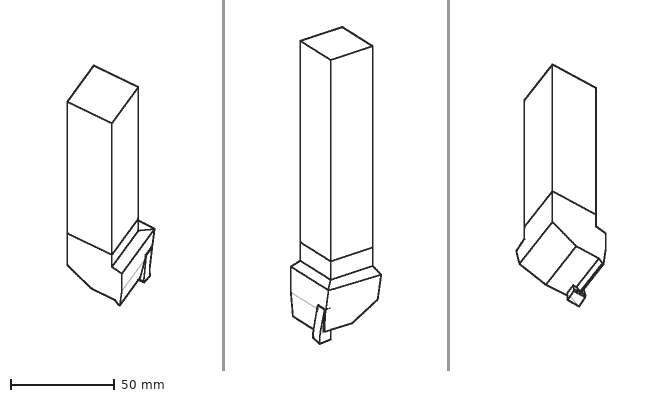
import cadquery as cq
import math

TOTAL_LENGTH = 152.4
SHANK_SIZE = 25.1
HEAD_TOP = 43.0

HEAD_WIDTH = 30.8
HEAD_DEPTH = 32.2
HEAD_BOTTOM = 6.5
SHOULDER_Z = 32.9
SHOULDER_ANGLE = 15.0
CORNER_CUT_WIDTH = 13.7
CORNER_CUT_TOP = 16.5
BACK_LEAN = 10.9
BACK_SKEW = 2.0
RELIEF_TOP = 17.5

NOSE_START_X = 26.8
NOSE_TIP_LEFT = 28.8
NOSE_TIP_RIGHT = 29.5
NOSE_BOTTOM = 4.0

INSERT_LEFT = 25.0
INSERT_RIGHT = 31.7
INSERT_TOP = 19.8
INSERT_TOP_RIGHT = 31.1
INSERT_FRONT = 19.2
INSERT_FRONT_Z = 2.5
EDGE_RISE = 0.5
HEEL_Y = 19.5
HEEL_Z = 1.0
RAKE_TOP = 5.8
INSERT_TOP_BACK = 28.3

SHOULDER_SLOPE = math.tan(math.radians(SHOULDER_ANGLE))
LEAN_SLOPE = math.tan(math.radians(BACK_LEAN))
SKEW_SLOPE = math.tan(math.radians(BACK_SKEW))


def shoulder_height(reach):
    """Height of the sloping shoulder at a distance from the X or Y datum face."""
    return SHOULDER_Z - (reach - SHANK_SIZE) * SHOULDER_SLOPE


def prism_along_y(points, depth):
    """Extrude an XZ outline from Y = 0 towards +Y."""
    return cq.Workplane("XZ").polyline(points).close().extrude(-depth)


def prism_along_x(points, start, end):
    """Extrude a YZ outline between two X positions."""
    return cq.Workplane("YZ", origin=(start, 0, 0)).polyline(points).close().extrude(end - start)


def make_shank():
    """Square bar standing on the head."""
    height = TOTAL_LENGTH - HEAD_TOP
    base = cq.Workplane("XY", origin=(0, 0, HEAD_TOP))
    return base.rect(SHANK_SIZE, SHANK_SIZE, centered=False).extrude(height)


def make_insert():
    """Leaning blade whose cutting edge is the lowest point of the tool."""
    insert_front_top = INSERT_FRONT + (INSERT_TOP - INSERT_FRONT_Z) * LEAN_SLOPE
    side = prism_along_x([
        (SHANK_SIZE, 0),
        (HEEL_Y, HEEL_Z),
        (INSERT_FRONT, INSERT_FRONT_Z),
        (insert_front_top, INSERT_TOP),
        (INSERT_TOP_BACK, INSERT_TOP),
        (SHANK_SIZE, RAKE_TOP),
    ], INSERT_LEFT, INSERT_RIGHT)
    face = prism_along_y([
        (INSERT_LEFT, EDGE_RISE),
        (INSERT_RIGHT, 0),
        (INSERT_TOP_RIGHT, INSERT_TOP),
        (INSERT_LEFT, INSERT_TOP),
    ], HEAD_DEPTH)
    return side.intersect(face)


def make_head(insert):
    """Head with sloping shoulders, a nose and a pocket that fits the insert."""
    flank_fraction = (HEAD_BOTTOM - NOSE_BOTTOM) / (RELIEF_TOP - NOSE_BOTTOM)
    flank_x = NOSE_TIP_RIGHT + (HEAD_WIDTH - NOSE_TIP_RIGHT) * flank_fraction
    block = prism_along_y([
        (0, HEAD_TOP),
        (SHANK_SIZE, HEAD_TOP),
        (SHANK_SIZE, SHOULDER_Z),
        (HEAD_WIDTH, shoulder_height(HEAD_WIDTH)),
        (HEAD_WIDTH, RELIEF_TOP),
        (flank_x, HEAD_BOTTOM),
        (CORNER_CUT_WIDTH, HEAD_BOTTOM),
        (0, CORNER_CUT_TOP),
    ], HEAD_DEPTH)

    back_top = shoulder_height(HEAD_DEPTH)
    side_limit = prism_along_x([
        (0, 0),
        (0, HEAD_TOP),
        (SHANK_SIZE, HEAD_TOP),
        (SHANK_SIZE, SHOULDER_Z),
        (HEAD_DEPTH, back_top),
        (HEAD_DEPTH, 0),
    ], 0, HEAD_WIDTH)
    head = block.intersect(side_limit)

    back_plane = cq.Plane(
        origin=(0, HEAD_DEPTH, back_top),
        xDir=(1, -SKEW_SLOPE, 0),
        normal=(SKEW_SLOPE, 1, -LEAN_SLOPE),
    )
    trim = cq.Workplane(back_plane).rect(TOTAL_LENGTH, TOTAL_LENGTH).extrude(HEAD_DEPTH)
    head = head.cut(trim)

    nose_depth = INSERT_FRONT + (HEAD_BOTTOM - INSERT_FRONT_Z) * LEAN_SLOPE
    nose = prism_along_y([
        (NOSE_START_X, HEAD_BOTTOM),
        (NOSE_TIP_LEFT, NOSE_BOTTOM),
        (NOSE_TIP_RIGHT, NOSE_BOTTOM),
        (flank_x, HEAD_BOTTOM),
    ], nose_depth)
    return head.union(nose).cut(insert)


shank = make_shank()
insert = make_insert()
head = make_head(insert)

result = cq.Compound.makeCompound([shank.val(), *head.vals(), *insert.vals()])